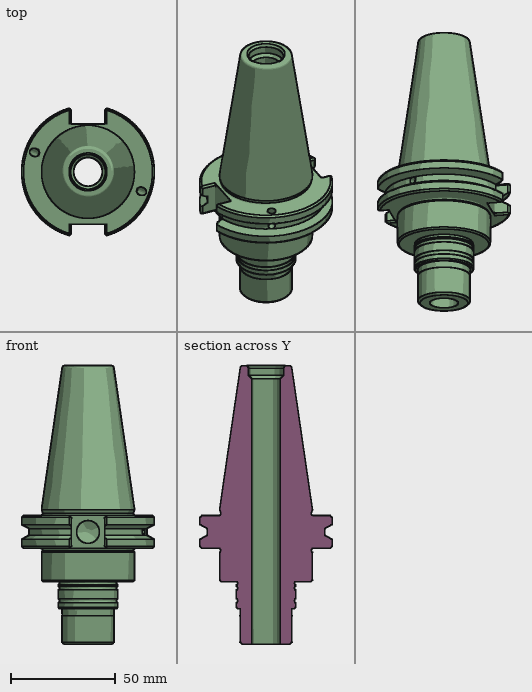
import cadquery as cq
import math

total_height = 133.0
flange_bottom = 45.7
flange_top = 61.4
gauge_plane = 64.6
groove_center = 53.6
body_bottom = 29.8
shaft_top = 16.9
relief_top = 16.1
relief_bottom = 13.7

taper_large_radius = 22.2
taper_ratio = 7 / 24
taper_small_radius = taper_large_radius - taper_ratio * (total_height - gauge_plane) / 2
tip_fillet = 1.5
gauge_land = 0.5
neck_radius = 21.7
neck_fillet = 1.0

flange_radius = 63.4 / 2
flange_chamfer = 0.9
groove_floor_radius = 28.2
groove_floor_half_width = 1.6
groove_flank_angle = 28.0
flank_rise = (flange_radius - groove_floor_radius) * math.tan(math.radians(groove_flank_angle))
groove_mouth_half_width = groove_floor_half_width + flank_rise

body_radius = 22.2
body_chamfer = 0.8

sleeve_radius = 14.2
ring_groove_wall = 0.3
ring_groove_depth = 0.5
ring_grooves = [(body_bottom, 28.5), (27.7, 25.9), (21.7, 19.8)]
sleeve_chamfer = 0.7
shaft_radius = 12.5
relief_depth = 0.1
shaft_chamfer = 1.0

bore_radius = 13.5 / 2
counterbore_radius = 16.5 / 2
counterbore_depth = 4.8
mouth_radius = 9.0
mouth_depth = 1.3

slot_half_width = 16.1 / 2
slot_edge_chamfer = 0.9
slot_corner_fillet = 0.4
front_slot_floor = 25.0
back_slot_floor = 22.9
dimple_radius = 10.9 / 2
dimple_point_angle = 140.0

coolant_angle = 160.0
coolant_entry_radius = 27.1
coolant_tilt = 35.0
coolant_diameter = 3.9
cross_hole_diameter = 3.2

margin = 1.3


def turned_body():
    """Revolve the outer profile, drawn from the top of the axis to the bottom."""
    profile = (
        cq.Workplane("XZ")
        .moveTo(0, total_height)
        .lineTo(taper_small_radius, total_height)
        .lineTo(taper_large_radius, gauge_plane)
        .lineTo(taper_large_radius, gauge_plane - gauge_land)
        .lineTo(neck_radius, flange_top + neck_fillet)
        .radiusArc((neck_radius + neck_fillet, flange_top), -neck_fillet)
        .lineTo(flange_radius - flange_chamfer, flange_top)
        .lineTo(flange_radius, flange_top - flange_chamfer)
        .lineTo(flange_radius, groove_center + groove_mouth_half_width)
        .lineTo(groove_floor_radius, groove_center + groove_floor_half_width)
        .lineTo(groove_floor_radius, groove_center - groove_floor_half_width)
        .lineTo(flange_radius, groove_center - groove_mouth_half_width)
        .lineTo(flange_radius, flange_bottom + flange_chamfer)
        .lineTo(flange_radius - flange_chamfer, flange_bottom)
        .lineTo(neck_radius + neck_fillet, flange_bottom)
        .radiusArc((neck_radius, flange_bottom - neck_fillet), -neck_fillet)
        .lineTo(body_radius, flange_bottom - neck_fillet - body_chamfer)
        .lineTo(body_radius, body_bottom + body_chamfer)
        .lineTo(body_radius - body_chamfer, body_bottom)
    )
    wall_radius = sleeve_radius - ring_groove_wall
    floor_radius = sleeve_radius - ring_groove_depth
    for upper_edge, lower_edge in ring_grooves:
        profile = (
            profile.lineTo(sleeve_radius, upper_edge)
            .lineTo(wall_radius, upper_edge)
            .threePointArc((floor_radius, (upper_edge + lower_edge) / 2), (wall_radius, lower_edge))
            .lineTo(sleeve_radius, lower_edge)
        )
    profile = (
        profile.lineTo(sleeve_radius, shaft_top + sleeve_chamfer)
        .lineTo(sleeve_radius - sleeve_chamfer, shaft_top)
        .lineTo(shaft_radius, shaft_top)
        .lineTo(shaft_radius, relief_top)
        .lineTo(shaft_radius - relief_depth, relief_bottom)
        .lineTo(shaft_radius, relief_bottom)
        .lineTo(shaft_radius, shaft_chamfer)
        .lineTo(shaft_radius - shaft_chamfer, 0)
        .lineTo(0, 0)
        .close()
    )
    body = profile.revolve(360, (0, 0, 0), (0, 1, 0))
    return body.faces(">Z").edges().fillet(tip_fillet)


def bore():
    """Through bore with a cone-bottomed counterbore and a flared mouth at the top."""
    ledge = total_height - counterbore_depth
    cone_height = counterbore_radius - bore_radius
    return (
        cq.Workplane("XZ")
        .moveTo(0, -margin)
        .lineTo(bore_radius, -margin)
        .lineTo(bore_radius, ledge - cone_height)
        .lineTo(counterbore_radius, ledge)
        .lineTo(counterbore_radius, total_height - mouth_depth)
        .lineTo(mouth_radius, total_height)
        .lineTo(0, total_height)
        .close()
        .revolve(360, (0, 0, 0), (0, 1, 0))
    )


def drive_slot(side, floor):
    """Slot through the flange on the +Y (side = 1) or -Y (side = -1) flank, edges chamfered."""
    wide = slot_half_width + slot_edge_chamfer
    height = flange_top - flange_bottom
    middle = (flange_top + flange_bottom) / 2
    outside = flange_radius + margin
    channel = (
        cq.Workplane("XY")
        .box(2 * slot_half_width, outside - floor, height)
        .translate((0, side * (floor + outside) / 2, middle))
        .faces("<Y" if side > 0 else ">Y")
        .edges("|Z")
        .fillet(slot_corner_fillet)
    )
    for face, inward in ((flange_top, -1), (flange_bottom, 1)):
        wedge = (
            cq.Workplane("XZ", origin=(0, side * floor, 0))
            .moveTo(-wide, face)
            .lineTo(wide, face)
            .lineTo(0, face + inward * wide)
            .close()
            .extrude(-side * (outside - floor))
        )
        channel = channel.union(wedge)
    rim = math.sqrt(flange_radius**2 - wide**2)
    rim_wedge = (
        cq.Workplane("XY", origin=(0, 0, flange_bottom))
        .moveTo(-slot_half_width, side * (rim - slot_edge_chamfer))
        .lineTo(slot_half_width, side * (rim - slot_edge_chamfer))
        .lineTo(wide + margin, side * (rim + margin))
        .lineTo(-wide - margin, side * (rim + margin))
        .close()
        .extrude(height)
    )
    return channel.union(rim_wedge)


def dimple():
    """Conical locating dimple in the floor of the -Y slot."""
    depth = dimple_radius / math.tan(math.radians(dimple_point_angle / 2))
    return cq.Workplane(cq.Solid.makeCone(
        dimple_radius, 0, depth,
        cq.Vector(0, -front_slot_floor, groove_center), cq.Vector(0, 1, 0),
    ))


def coolant_hole(angle):
    """Tilted hole from the upper flange face, meeting a radial hole from the groove floor."""
    tilt = math.radians(coolant_tilt)
    drop = flange_top - groove_center
    meeting_radius = coolant_entry_radius - drop * math.tan(tilt)
    down = cq.Vector(-math.sin(tilt), 0, -math.cos(tilt))
    start = cq.Vector(coolant_entry_radius, 0, flange_top) - down * (2 * margin)
    tilted = cq.Solid.makeCylinder(
        coolant_diameter / 2, drop / math.cos(tilt) + 2 * margin, start, down
    )
    radial = cq.Solid.makeCylinder(
        cross_hole_diameter / 2, groove_floor_radius + margin - meeting_radius,
        cq.Vector(meeting_radius, 0, groove_center), cq.Vector(1, 0, 0),
    )
    return cq.Workplane(tilted.fuse(radial)).rotate((0, 0, 0), (0, 0, 1), angle)


result = turned_body().cut(bore())
result = result.cut(drive_slot(-1, front_slot_floor)).cut(drive_slot(1, back_slot_floor))
result = result.cut(dimple())
for hole_angle in (coolant_angle, coolant_angle + 180):
    result = result.cut(coolant_hole(hole_angle))
result = cq.Workplane(result.solids().val())